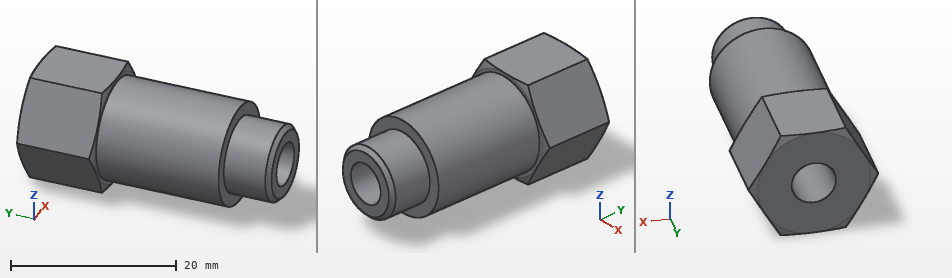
import cadquery as cq
import math

HEX_ACROSS_FLATS = 14.0
HEX_ACROSS_CORNERS = HEX_ACROSS_FLATS / math.cos(math.radians(30))
HEX_LENGTH = 10.0
CORNER_CHAMFER_ANGLE = 15.0

SHANK_DIAMETER = 13.0
SHANK_LENGTH = 16.0
NOSE_DIAMETER = 9.73
NOSE_TIP_DIAMETER = 8.57
NOSE_LENGTH = 6.0
NOSE_CHAMFER = (NOSE_DIAMETER - NOSE_TIP_DIAMETER) / 2

BORE_DIAMETER = 5.5

SHANK_FRONT = NOSE_LENGTH
HEX_FRONT = SHANK_FRONT + SHANK_LENGTH
TOTAL_LENGTH = HEX_FRONT + HEX_LENGTH


def plane_at(y):
    """Plane normal to the part axis at y, with its normal along +Y."""
    return cq.Plane(origin=(0, y, 0), xDir=(1, 0, 0), normal=(0, 1, 0))


def cylinder(diameter, start, length):
    return cq.Workplane(plane_at(start)).circle(diameter / 2).extrude(length)


def corner_envelope():
    """Disc with conical ends that trims the hexagon corners at both faces."""
    face_radius = HEX_ACROSS_FLATS / 2
    corner_radius = HEX_ACROSS_CORNERS / 2
    depth = (corner_radius - face_radius) * math.tan(math.radians(CORNER_CHAMFER_ANGLE))
    return (
        cq.Workplane("XY")
        .moveTo(0, HEX_FRONT)
        .lineTo(face_radius, HEX_FRONT)
        .lineTo(corner_radius, HEX_FRONT + depth)
        .lineTo(corner_radius, TOTAL_LENGTH - depth)
        .lineTo(face_radius, TOTAL_LENGTH)
        .lineTo(0, TOTAL_LENGTH)
        .close()
        .revolve(360, (0, 0, 0), (0, 1, 0))
    )


def hex_head():
    """Hexagon with corners on the X axis and flats facing up and down."""
    prism = (
        cq.Workplane(plane_at(HEX_FRONT))
        .polygon(6, HEX_ACROSS_CORNERS)
        .extrude(HEX_LENGTH)
    )
    return prism.intersect(corner_envelope())


def nose():
    """Round nose with a chamfered tip."""
    return cylinder(NOSE_DIAMETER, 0, NOSE_LENGTH).faces("<Y").chamfer(NOSE_CHAMFER)


shank = cylinder(SHANK_DIAMETER, SHANK_FRONT, SHANK_LENGTH)
bore = cylinder(BORE_DIAMETER, 0, TOTAL_LENGTH)

result = hex_head().union(shank).union(nose()).cut(bore)